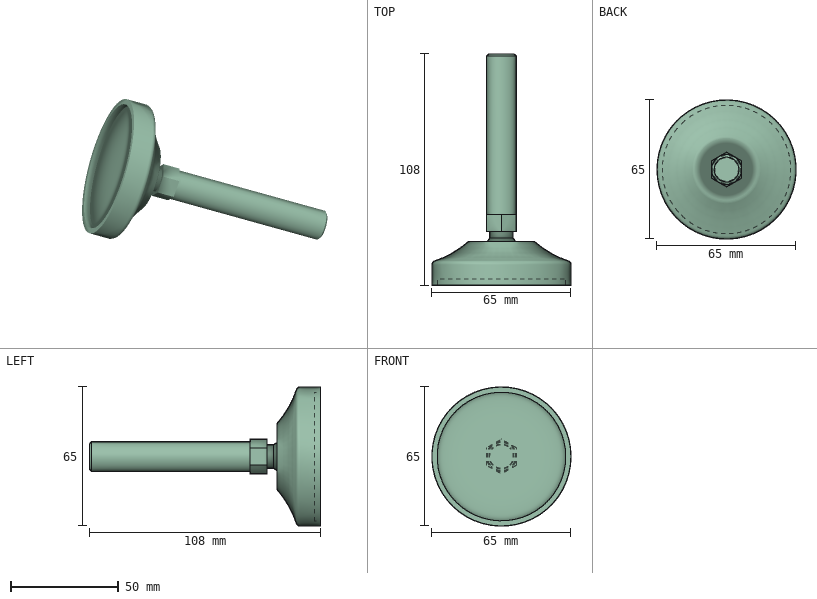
import cadquery as cq
import math

TOTAL_LENGTH = 108.0

FOOT_DIAMETER = 65.0
RIM_HEIGHT = 9.5
PLATEAU_HEIGHT = 20.5
EDGE_RADIUS = 2.0
LOWER_SLOPE = math.radians(18.0)
UPPER_SLOPE = math.radians(41.0)

RECESS_DIAMETER = 60.0
RECESS_DEPTH = 3.0

NECK_DIAMETER = 11.0
COLLAR_DIAMETER = 13.1
COLLAR_TOP = 22.0

HEX_START = 25.0
HEX_LENGTH = 8.0
HEX_ACROSS_FLATS = 14.0
STUD_DIAMETER = 14.0
TIP_DIAMETER = 11.55
TIP_CHAMFER_LENGTH = 1.0

HEX_END = HEX_START + HEX_LENGTH


def revolve_about_y(profile):
    """Turn a closed XY profile a full turn around the Y axis."""
    return profile.close().revolve(360, (0, 0, 0), (0, 1, 0))


def point_on_circle(center, angle):
    """Point of an edge rounding, at an angle measured from the +X direction."""
    return (
        center[0] + EDGE_RADIUS * math.cos(angle),
        center[1] + EDGE_RADIUS * math.sin(angle),
    )


def make_foot():
    """Dished foot whose hollow flank runs tangentially into both rounded edges."""
    foot_radius = FOOT_DIAMETER / 2
    recess_radius = RECESS_DIAMETER / 2

    rim_center = (foot_radius - EDGE_RADIUS, RIM_HEIGHT)
    rim_sweep = math.pi / 2 - LOWER_SLOPE
    rim_middle = point_on_circle(rim_center, rim_sweep / 2)
    flank_bottom = point_on_circle(rim_center, rim_sweep)

    plateau_edge_drop = EDGE_RADIUS * (1 - math.cos(UPPER_SLOPE))
    flank_rise = PLATEAU_HEIGHT - plateau_edge_drop - flank_bottom[1]
    chord_slope = (LOWER_SLOPE + UPPER_SLOPE) / 2
    flank_run = flank_rise / math.tan(chord_slope)
    flank_top = (flank_bottom[0] - flank_run, flank_bottom[1] + flank_rise)

    half_chord = math.hypot(flank_run, flank_rise) / 2
    sag = half_chord * math.tan((UPPER_SLOPE - LOWER_SLOPE) / 4)
    flank_middle = (
        (flank_bottom[0] + flank_top[0]) / 2 - sag * math.sin(chord_slope),
        (flank_bottom[1] + flank_top[1]) / 2 - sag * math.cos(chord_slope),
    )

    plateau_radius = flank_top[0] - EDGE_RADIUS * math.sin(UPPER_SLOPE)
    plateau_center = (plateau_radius, PLATEAU_HEIGHT - EDGE_RADIUS)
    plateau_middle = point_on_circle(plateau_center, math.pi / 2 - UPPER_SLOPE / 2)

    profile = (
        cq.Workplane("XY")
        .moveTo(0, RECESS_DEPTH)
        .lineTo(recess_radius, RECESS_DEPTH)
        .lineTo(recess_radius, 0)
        .lineTo(foot_radius, 0)
        .lineTo(foot_radius, RIM_HEIGHT)
        .threePointArc(rim_middle, flank_bottom)
        .threePointArc(flank_middle, flank_top)
        .threePointArc(plateau_middle, (plateau_radius, PLATEAU_HEIGHT))
        .lineTo(0, PLATEAU_HEIGHT)
    )
    return revolve_about_y(profile)


def make_neck():
    """Round neck that flares into a short cone on the foot's plateau."""
    profile = (
        cq.Workplane("XY")
        .moveTo(0, PLATEAU_HEIGHT)
        .lineTo(COLLAR_DIAMETER / 2, PLATEAU_HEIGHT)
        .lineTo(NECK_DIAMETER / 2, COLLAR_TOP)
        .lineTo(NECK_DIAMETER / 2, HEX_START)
        .lineTo(0, HEX_START)
    )
    return revolve_about_y(profile)


def make_hexagon():
    """Wrench hexagon with two flats facing -X and +X and corners along Z."""
    across_corners = HEX_ACROSS_FLATS / math.cos(math.pi / 6)
    hex_plane = cq.Plane(origin=(0, HEX_START, 0), xDir=(0, 0, 1), normal=(0, 1, 0))
    return cq.Workplane(hex_plane).polygon(6, across_corners).extrude(HEX_LENGTH)


def make_stud():
    """Plain cylindrical stud with a chamfered tip."""
    stud_radius = STUD_DIAMETER / 2
    profile = (
        cq.Workplane("XY")
        .moveTo(0, HEX_END)
        .lineTo(stud_radius, HEX_END)
        .lineTo(stud_radius, TOTAL_LENGTH - TIP_CHAMFER_LENGTH)
        .lineTo(TIP_DIAMETER / 2, TOTAL_LENGTH)
        .lineTo(0, TOTAL_LENGTH)
    )
    return revolve_about_y(profile)


result = make_foot().union(make_neck()).union(make_hexagon()).union(make_stud())